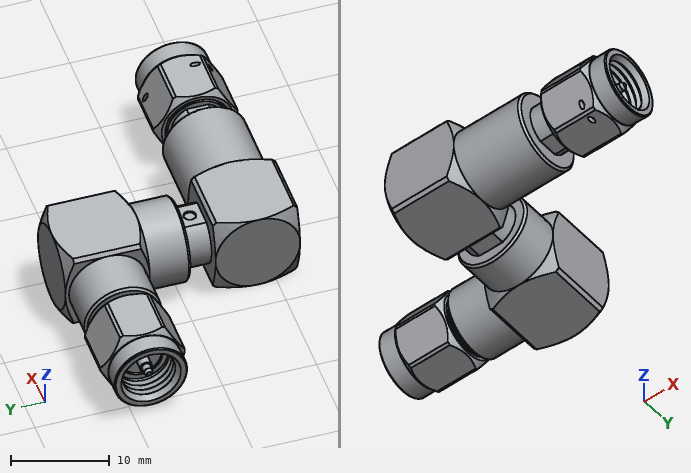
import cadquery as cq
import math

length_x = 42.45
body_side = 9.0
left_reach = 18.7
right_reach = length_x - left_reach
upper_y = 16.0
half_side = body_side / 2

edge_chamfer = 0.4
corner_cone_drop = 0.95
corner_half_diagonal = math.hypot(half_side, half_side - edge_chamfer)

sleeve_chamfer = 0.25
left_sleeve_diameter = 8.25
left_sleeve_end = 9.7
right_sleeve_end = 13.07
y_sleeve_end = 8.9
neck_diameter = 5.6
shaft_diameter = 6.35
right_neck_flats = 5.1
shaft_flats = 5.6
dimple_diameter = 1.27
dimple_depth = 0.2

nut_length = 8.5
collar_length = 2.12
collar_diameter = 7.75
collar_chamfer = 0.13
hex_flats = 8.0
hex_trim_diameter = 9.0
hex_chamfer_length = 0.65
hex_chamfer_height = 0.7
rear_groove_inner = 6.35
rear_groove_outer = 6.88
rear_groove_depth = 0.42

entry_diameter = 6.35
entry_depth = 0.7
thread_minor_diameter = 5.6
thread_major_diameter = 6.35
thread_pitch = 0.7
thread_turns = 4
socket_depth = entry_depth + (thread_turns - 0.5) * thread_pitch
insulator_diameter = 4.45
insulator_step = 0.13
pin_tip_depth = 0.6
pin_shoulder_depth = 1.65
pin_taper_length = 0.35
pin_embedment = 0.55
pin_tip_diameter = 0.5
pin_diameter = 0.95
pin_shoulder_diameter = 1.27

wire_hole_diameter = 0.5
wire_hole_radius = 4.08
wire_hole_from_end = 3.9


def x_cylinder(x_start, x_end, diameter):
    """Cylinder about the X axis between two stations."""
    return cq.Workplane("YZ", origin=(x_start, 0, 0)).circle(diameter / 2).extrude(x_end - x_start)


def turned(profile):
    """Solid of revolution about the X axis from (x, radius) points."""
    return cq.Workplane("XY").polyline(profile).close().revolve(360, (0, 0, 0), (1, 0, 0))


def elbow_body():
    """Cube along X with chamfered edges and both ends turned to the inscribed circle."""
    cube = cq.Workplane("XY").box(body_side, body_side, body_side)
    cube = cube.edges("|X").chamfer(edge_chamfer)
    envelope = turned([
        (-half_side, 0),
        (-half_side, half_side),
        (corner_cone_drop - half_side, corner_half_diagonal),
        (half_side - corner_cone_drop, corner_half_diagonal),
        (half_side, half_side),
        (half_side, 0),
    ])
    return cube.intersect(envelope)


def socket():
    """Threaded bore with its insulator step, open at x = 0, without the pin."""
    floor = socket_depth + insulator_step
    bore = turned([
        (0, 0),
        (0, entry_diameter / 2),
        (entry_depth, thread_minor_diameter / 2),
        (socket_depth, thread_minor_diameter / 2),
        (socket_depth, insulator_diameter / 2),
        (floor, insulator_diameter / 2 - insulator_step),
        (floor, 0),
    ])
    for turn in range(thread_turns - 1):
        start = entry_depth + turn * thread_pitch
        bore = bore.union(turned([
            (start, thread_minor_diameter / 2),
            (start + thread_pitch / 2, thread_major_diameter / 2),
            (start + thread_pitch, thread_minor_diameter / 2),
            (start + thread_pitch, 0),
            (start, 0),
        ]))
    return bore


def pin():
    """Centre contact with a tapered tip and a wider shoulder."""
    base = socket_depth + pin_embedment
    return turned([
        (pin_tip_depth, 0),
        (pin_tip_depth, pin_tip_diameter / 2),
        (pin_tip_depth + pin_taper_length, pin_diameter / 2),
        (pin_shoulder_depth, pin_diameter / 2),
        (pin_shoulder_depth, pin_shoulder_diameter / 2),
        (base, pin_shoulder_diameter / 2),
        (base, 0),
    ])


def coupling_nut():
    """Nut with its open end at x = 0 and its rear at x = nut_length."""
    collar = x_cylinder(0, collar_length, collar_diameter).faces("<X").chamfer(collar_chamfer)
    hexagon = (
        cq.Workplane("YZ", origin=(collar_length, 0, 0))
        .polygon(6, hex_flats / math.cos(math.pi / 6))
        .extrude(nut_length - collar_length)
    )
    trim_radius = hex_trim_diameter / 2
    trim = turned([
        (collar_length, 0),
        (collar_length, trim_radius - hex_chamfer_height),
        (collar_length + hex_chamfer_length, trim_radius),
        (nut_length - hex_chamfer_length, trim_radius),
        (nut_length, trim_radius - hex_chamfer_height),
        (nut_length, 0),
    ])
    nut = collar.union(hexagon.intersect(trim))
    groove_start = nut_length - rear_groove_depth
    groove = x_cylinder(groove_start, nut_length, rear_groove_outer)
    groove = groove.cut(x_cylinder(groove_start, nut_length, rear_groove_inner))
    return nut.cut(groove).cut(socket()).union(pin())


def flatted(neck, width):
    """Neck reduced to a flat on top and underneath."""
    slab_length = 2 * length_x
    slab = cq.Workplane("XY").box(slab_length, slab_length, width)
    return neck.intersect(slab)


def dimple(x, y, flats):
    """Shallow round recess in the upper flat of a neck."""
    return (
        cq.Workplane("XY", origin=(x, y, flats / 2 - dimple_depth))
        .circle(dimple_diameter / 2)
        .extrude(dimple_depth)
    )


lower = elbow_body()
lower = lower.union(x_cylinder(0, right_sleeve_end, body_side).faces(">X").chamfer(sleeve_chamfer))
right_nut_rear = right_reach - nut_length
right_neck = x_cylinder(right_sleeve_end, right_nut_rear, neck_diameter)
right_neck = flatted(right_neck, right_neck_flats)
right_neck = right_neck.cut(dimple((right_sleeve_end + right_nut_rear) / 2, 0, right_neck_flats))
right_nut = coupling_nut().rotate((0, 0, 0), (0, 0, 1), 180).translate((right_reach, 0, 0))
for angle in (0, 120, 240):
    wire_hole = (
        cq.Workplane("XY", origin=(right_reach - wire_hole_from_end, wire_hole_radius, 0))
        .circle(wire_hole_diameter / 2)
        .extrude(half_side, both=True)
    )
    right_nut = right_nut.cut(wire_hole.rotate((0, 0, 0), (1, 0, 0), angle))
lower = lower.union(right_neck).union(right_nut)

upper = elbow_body().rotate((0, 0, 0), (0, 0, 1), 90)
left_sleeve = x_cylinder(-left_sleeve_end, 0, left_sleeve_diameter)
upper = upper.union(left_sleeve.faces("<X").chamfer(sleeve_chamfer))
left_nut_rear = nut_length - left_reach
upper = upper.union(x_cylinder(left_nut_rear, -left_sleeve_end, neck_diameter))
upper = upper.union(coupling_nut().translate((-left_reach, 0, 0)))
y_sleeve = cq.Workplane("XZ").circle(half_side).extrude(y_sleeve_end).faces("<Y").chamfer(sleeve_chamfer)
upper = upper.union(y_sleeve).translate((0, upper_y, 0))

shaft = cq.Workplane("XZ", origin=(0, upper_y - y_sleeve_end, 0)).circle(shaft_diameter / 2)
shaft = shaft.extrude(upper_y - y_sleeve_end - half_side)
shaft = flatted(shaft, shaft_flats)
shaft = shaft.cut(dimple(0, (upper_y - y_sleeve_end + half_side) / 2, shaft_flats))

result = lower.union(upper).union(shaft)